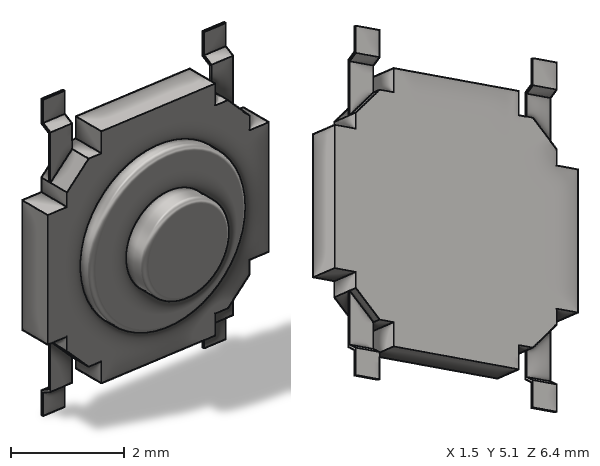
import cadquery as cq
import math

plate_side = 5.1
plate_thickness = 0.7
arm_half_width = 1.31
shoulder = 2.105
corner_cut = 0.5

collar_diameter = 3.6
collar_end = 1.0
button_diameter = 2.0
button_end = 1.5
rim_radius = 0.095

lead_tip = 3.2
lead_width = corner_cut
lead_thickness = 0.05
lead_offset = 0.2
foot_length = 0.5
bend_angle = math.radians(28)


def make_plate():
    half_side = plate_side / 2
    cut_start = shoulder - corner_cut
    corner = [
        (half_side, arm_half_width),
        (shoulder, arm_half_width),
        (shoulder, cut_start),
        (cut_start, shoulder),
        (arm_half_width, shoulder),
        (arm_half_width, half_side),
    ]
    outline = []
    for side_y, side_z in [(1, 1), (-1, 1), (-1, -1), (1, -1)]:
        points = [(side_y * y, side_z * z) for y, z in corner]
        if side_y * side_z < 0:
            points.reverse()
        outline += points
    return cq.Workplane("YZ").polyline(outline).close().extrude(plate_thickness)


def make_round_step(diameter, start, end):
    disc = cq.Workplane("YZ", origin=(start, 0, 0)).circle(diameter / 2).extrude(end - start)
    return disc.faces(">X").edges().fillet(rim_radius)


def make_housing():
    collar = make_round_step(collar_diameter, plate_thickness, collar_end)
    button = make_round_step(button_diameter, collar_end, button_end)
    return make_plate().union(collar).union(button)


def make_lead(housing):
    """Upper lead on the +Y side, ending against the corner face of the housing."""
    slope = math.tan(bend_angle)
    foot_end = lead_tip - foot_length
    joggle_rise = lead_thickness / math.cos(bend_angle)
    foot_inner_end = foot_end - lead_thickness * slope + joggle_rise
    straight_far_x = lead_offset + lead_thickness
    straight_outer_end = foot_end - straight_far_x * slope + joggle_rise
    root = shoulder - corner_cut
    profile = [
        (0, lead_tip),
        (0, foot_end),
        (lead_offset, foot_end - lead_offset * slope),
        (lead_offset, root),
        (straight_far_x, root),
        (straight_far_x, straight_outer_end),
        (lead_thickness, foot_inner_end),
        (lead_thickness, lead_tip),
    ]
    strip = cq.Workplane("XZ", origin=(0, shoulder, 0)).polyline(profile).close().extrude(lead_width)
    return strip.cut(housing)


housing = make_housing()
upper_lead = make_lead(housing)
upper_pair = [upper_lead, upper_lead.mirror("XZ")]
leads = []
for lead in upper_pair:
    leads.append(lead.val())
    leads.append(lead.mirror("XY").val())

result = cq.Compound.makeCompound([housing.val(), *leads])